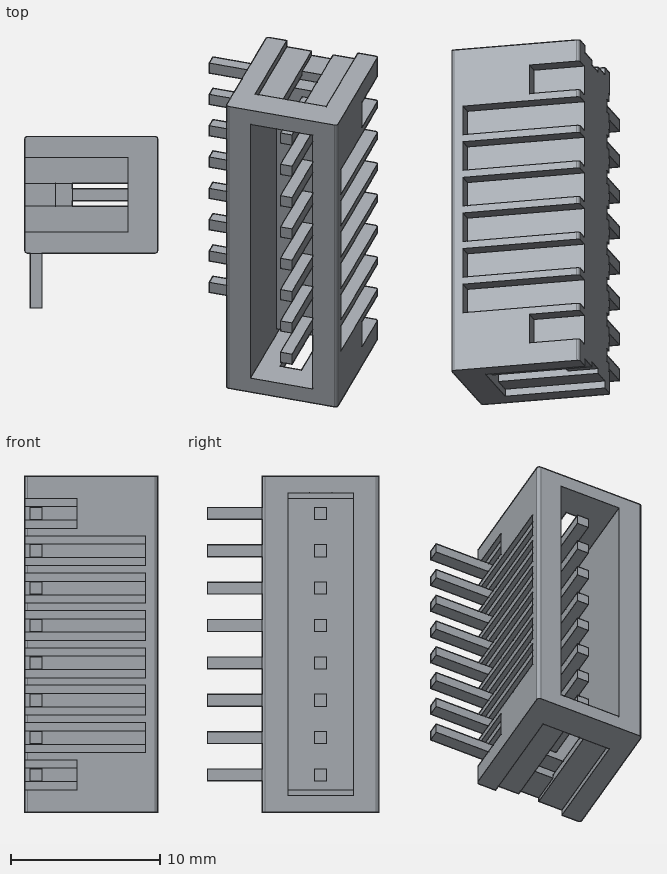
import cadquery as cq


pin_count = 8
length = 22.5
pitch = length / (pin_count + 1)
housing_depth = 8.9
housing_width = 7.83
corner_radius = 0.2

side_wall = 1.73
end_wall = 1.12
cavity_back = 2.07
pin_block_front = 3.2
pin_block_clearance = 0.38

recess_width = 5.0
recess_length = 6.9
recess_depth = 0.5
channel_width = 1.5
channel_depth = 0.83

slot_height = 2.0
slot_depth = 0.32
groove_height = 0.9
groove_depth = 0.8
relief_depth = 1.2
long_slot = 8.1
short_slot = 3.49

pin_size = 0.8
tail_center_x = 0.76
tail_projection = 3.67
pin_tip_x = 7.88

pin_heights = [(i - (pin_count - 1) / 2) * pitch for i in range(pin_count)]
tail_side = -housing_width / 2
relief_side = housing_width / 2


def block(x_range, y_range, z_range):
    """Box spanning the given (low, high) limits on each axis."""
    sizes = [high - low for low, high in (x_range, y_range, z_range)]
    corner = (x_range[0], y_range[0], z_range[0])
    return cq.Workplane("XY").box(*sizes, centered=False).translate(corner)


def around(center, size):
    """Limits of a span of the given size about a center."""
    return center - size / 2, center + size / 2


def housing_shell():
    shell = block((0, housing_depth), around(0, housing_width), around(0, length))
    return shell.edges("|Z").fillet(corner_radius)


def cavity():
    """Plug cavity, with a solid pin block left standing on its back wall."""
    cavity_width = housing_width - 2 * side_wall
    cavity_length = length - 2 * end_wall
    space = block((cavity_back, housing_depth), around(0, cavity_width), around(0, cavity_length))
    block_length = cavity_length - 2 * pin_block_clearance
    pin_block = block((cavity_back, pin_block_front), around(0, cavity_width), around(0, block_length))
    return space.cut(pin_block)


def end_recess():
    """Recess in the upper end wall: broad step, shallow channel and a slit into the cavity."""
    top = length / 2
    broad = block((0, recess_length), around(0, recess_width), (top - recess_depth, top))
    channel = block((0, cavity_back), around(0, channel_width), (top - channel_depth, top))
    slit = block((cavity_back, recess_length), around(0, channel_width), (top - end_wall, top))
    return broad.union(channel).union(slit)


def side_slots(z, slot_length):
    """Stepped slot on the tail side and plain slot on the opposite side, both open at the back."""
    x_range = (0, slot_length)
    slot = block(x_range, (tail_side, tail_side + slot_depth), around(z, slot_height))
    groove = block(x_range, (tail_side, tail_side + groove_depth), around(z, groove_height))
    relief = block(x_range, (relief_side - relief_depth, relief_side), around(z, slot_height))
    return slot.union(groove).union(relief)


def pin(z):
    """Right-angle pin: a contact along X and a tail leaving the housing along -Y."""
    tail_start = tail_center_x - pin_size / 2
    contact = block((tail_start, pin_tip_x), around(0, pin_size), around(z, pin_size))
    tail = block(
        around(tail_center_x, pin_size), (tail_side - tail_projection, 0), around(z, pin_size)
    )
    return contact.union(tail)


upper_recess = end_recess()
lower_recess = upper_recess.mirror("XY")
result = housing_shell().cut(cavity()).cut(upper_recess).cut(lower_recess)

for z in pin_heights:
    is_end_pin = z in (pin_heights[0], pin_heights[-1])
    result = result.cut(side_slots(z, short_slot if is_end_pin else long_slot))

for z in pin_heights:
    result = result.union(pin(z))